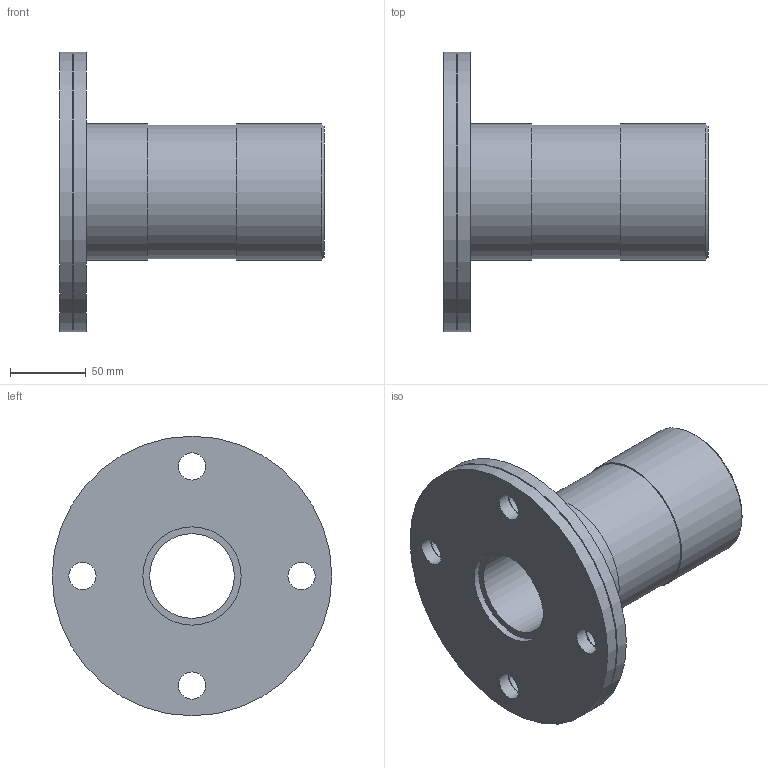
import cadquery as cq

total_length = 175.0
bore_diameter = 56.0

flange_diameter = 185.0
flange_thickness = 17.5
gap_width = 0.6
raised_face_diameter = 117.0
recess_diameter = 65.0
recess_depth = 4.4

bolt_hole_diameter = 18.0
bolt_hole_count = 4
bolt_circle_diameter = 145.0

sleeve_diameter = 90.0
waist_diameter = 88.2
waist_start = 58.3
waist_end = 116.7
end_chamfer = 1.8


def disc(start, end, diameter):
    """Cylinder along X between two stations."""
    return cq.Workplane("YZ", origin=(start, 0, 0)).circle(diameter / 2).extrude(end - start)


def ring(start, end, outer_diameter, inner_diameter):
    """Annular band along X between two stations."""
    return disc(start, end, outer_diameter).cut(disc(start, end, inner_diameter))


def make_flange():
    """Bolted flange with the peripheral gap at mid thickness."""
    gap_start = (flange_thickness - gap_width) / 2
    gap = ring(gap_start, gap_start + gap_width, flange_diameter, raised_face_diameter)
    bolt_holes = (
        cq.Workplane("YZ")
        .polarArray(bolt_circle_diameter / 2, 0, 360, bolt_hole_count)
        .circle(bolt_hole_diameter / 2)
        .extrude(flange_thickness)
    )
    return disc(0, flange_thickness, flange_diameter).cut(gap).cut(bolt_holes)


def make_sleeve():
    """Sleeve with a slightly reduced waist and a chamfered free end."""
    sleeve = disc(0, total_length, sleeve_diameter).faces(">X").chamfer(end_chamfer)
    waist = ring(waist_start, waist_end, sleeve_diameter, waist_diameter)
    return sleeve.cut(waist)


bore = disc(0, total_length, bore_diameter)
recess = disc(0, recess_depth, recess_diameter)

result = make_flange().union(make_sleeve()).cut(bore).cut(recess)